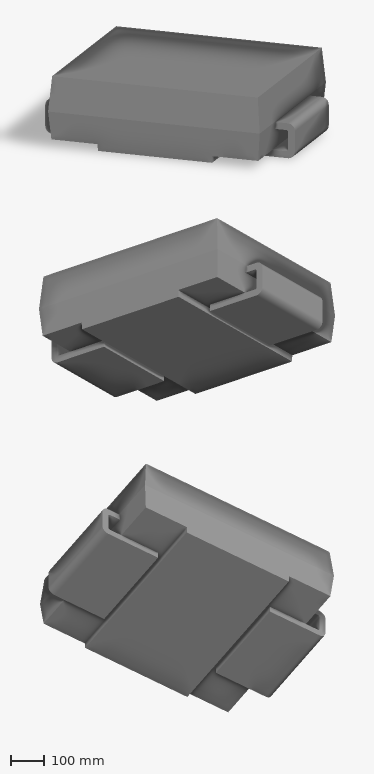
import cadquery as cq
import math

overall_length = 800.0
body_width = 580.0
overall_height = 222.0

body_length = 678.0
parting_height = 113.0
draft_angle = 5.0
belly_height = 2.0
belly_length = 366.0
underside_height = 24.0

lead_width = 298.0
lead_thickness = 22.0
lead_top = 110.0
lead_inner_radius = 6.0
lead_outer_radius = 22.0
foot_length = 199.0

draft_slope = math.tan(math.radians(draft_angle))


def drafted_block(height):
    """Block on the parting plane that narrows away from it; negative height goes down."""
    inset = abs(height) * draft_slope
    return (
        cq.Workplane("XY")
        .workplane(offset=parting_height)
        .rect(body_length, body_width)
        .workplane(offset=height)
        .rect(body_length - 2 * inset, body_width - 2 * inset)
        .loft(ruled=True)
    )


def make_upper_shell():
    return drafted_block(overall_height - parting_height)


def make_lower_shell():
    """Lower shell with a step at each end that leaves room for the lead feet."""
    shell = drafted_block(belly_height - parting_height)
    step_length = (body_length - belly_length) / 2
    for side in (-1, 1):
        step = (
            cq.Workplane("XY")
            .box(step_length, body_width, underside_height, centered=(True, True, False))
            .translate((side * (belly_length + step_length) / 2, 0, 0))
        )
        shell = shell.cut(step)
    return shell


def shell_side_x(z):
    """X of the lower shell's drafted -X face at height z."""
    return -body_length / 2 + (parting_height - z) * draft_slope


def make_left_lead():
    """C-shaped strip from the drafted housing face round to the foot under the housing."""
    outer_x = -overall_length / 2
    inner_x = outer_x + lead_thickness
    foot_end_x = outer_x + foot_length
    arm_bottom = lead_top - lead_thickness

    profile = (
        cq.Workplane("XZ")
        .moveTo(shell_side_x(lead_top), lead_top)
        .lineTo(outer_x + lead_outer_radius, lead_top)
        .radiusArc((outer_x, lead_top - lead_outer_radius), -lead_outer_radius)
        .lineTo(outer_x, lead_outer_radius)
        .radiusArc((outer_x + lead_outer_radius, 0), -lead_outer_radius)
        .lineTo(foot_end_x, 0)
        .lineTo(foot_end_x, lead_thickness)
        .lineTo(inner_x + lead_inner_radius, lead_thickness)
        .radiusArc((inner_x, lead_thickness + lead_inner_radius), lead_inner_radius)
        .lineTo(inner_x, arm_bottom - lead_inner_radius)
        .radiusArc((inner_x + lead_inner_radius, arm_bottom), lead_inner_radius)
        .lineTo(shell_side_x(arm_bottom), arm_bottom)
        .close()
    )
    return profile.extrude(lead_width / 2, both=True)


upper_shell = make_upper_shell()
lower_shell = make_lower_shell()
leads = []
for turn in (0, 180):
    lead = make_left_lead().rotate((0, 0, 0), (0, 0, 1), turn)
    leads.append(lead.val())

result = cq.Compound.makeCompound([upper_shell.val(), lower_shell.val(), *leads])